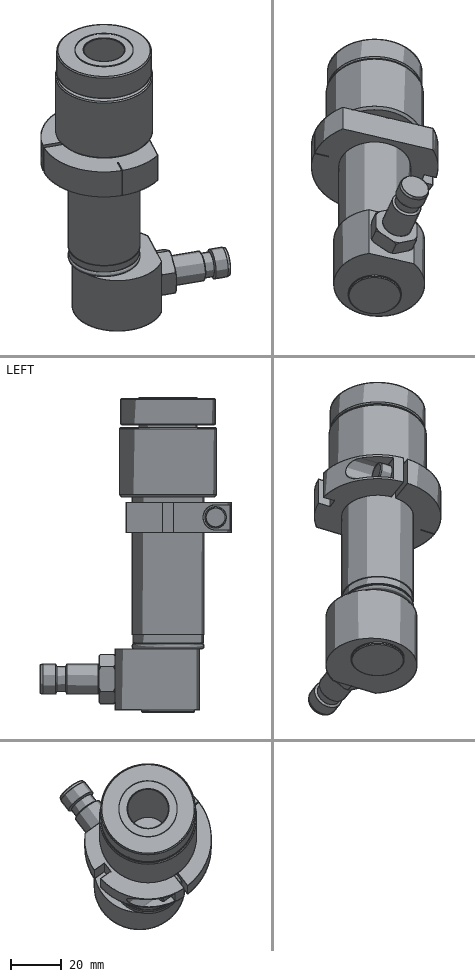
import cadquery as cq
import math

foot_diameter = 21.0
foot_height = 1.0
foot_chamfer = 0.4
barrel_diameter = 28.5
base_top = 25.1
bead_radius = 1.0
neck_diameter = 27.9
neck_bottom = 27.5
neck_top = 30.7
head_bottom = 85.0
head_top = 112.5
head_diameter = 38.5
head_bottom_chamfer = 1.0
head_top_chamfer = 0.5
stem_diameter = 23.0
cap_bottom = 113.5
cap_top = 124.0
cap_diameter = 37.5
cap_chamfer = 0.5
total_height = 124.4
bore_diameter = 16.0
bore_chamfer = 0.2

base_diameter = 36.0
base_front = -12.5
base_flat = 20.9
base_center = base_front + base_diameter / 2

fitting_z = 13.2
hex_across_flats = 16.9
hex_corners = hex_across_flats / math.cos(math.pi / 6)
hex_end = 27.2
hex_chamfer = 0.6
nipple_diameter = 12.0
groove_diameter = 10.0
nipple_end = 50.5
shank_end = 40.4
collar_start = 43.9
groove_slope = 0.5
nipple_root_chamfer = 0.5
nipple_tip_radial = 0.4
nipple_tip_length = 1.1

ring_diameter = 50.0
ring_bottom = 71.0
ring_height = 12.0
ring_middle = ring_bottom + ring_height / 2
ring_flat = 16.5
notch_width = 4.2
notch_floor = 19.9
split_width = 1.7
slit_width = 0.4
slit_floor = head_diameter / 2

screw_y = -18.8
screw_diameter = 5.0
screw_head_diameter = 8.5
screw_head_length = 4.9
screw_head_chamfer = 0.5
pocket_width = 10.0
pocket_floor = -5.0
thread_length = 10.0


def cylinder(diameter, bottom, top):
    return cq.Workplane("XY").workplane(offset=bottom).circle(diameter / 2).extrude(top - bottom)


def make_base():
    """Off-centre disc cut flat on its +Y side."""
    disc = cylinder(base_diameter, foot_height, base_top).translate((0, base_center, 0))
    beyond_flat = cq.Workplane("XY").box(
        base_diameter, base_diameter, total_height, centered=(True, False, True)
    ).translate((0, base_flat, 0))
    return disc.cut(beyond_flat)


def make_column():
    """Foot, barrel, head, stem and cap on the Z axis, bored from the top."""
    foot = cylinder(foot_diameter, 0, foot_height).faces("<Z").chamfer(foot_chamfer)
    bead_center = base_top + bead_radius
    bead_core = barrel_diameter / 2 - bead_radius
    bead = (
        cq.Workplane("XZ")
        .moveTo(0, base_top)
        .lineTo(bead_core, base_top)
        .threePointArc((barrel_diameter / 2, bead_center), (bead_core, bead_center + bead_radius))
        .lineTo(0, bead_center + bead_radius)
        .close()
        .revolve(360, (0, 0, 0), (0, 1, 0))
    )
    neck = cylinder(neck_diameter, neck_bottom, neck_top)
    neck_core = cylinder(2 * bead_core, base_top, neck_bottom)
    barrel = cylinder(barrel_diameter, neck_top, head_bottom)
    head = cylinder(head_diameter, head_bottom, head_top)
    head = head.faces("<Z").chamfer(head_bottom_chamfer).faces(">Z").chamfer(head_top_chamfer)
    stem = cylinder(stem_diameter, head_top, total_height)
    cap = cylinder(cap_diameter, cap_bottom, cap_top).faces("<Z or >Z").chamfer(cap_chamfer)
    column = foot.union(make_base())
    for section in (bead, neck_core, neck, barrel, head, stem, cap):
        column = column.union(section)
    bore = cylinder(bore_diameter, head_bottom, total_height)
    column = column.cut(bore)
    bore_rim = column.faces(">Z").edges(cq.selectors.RadiusNthSelector(0))
    return bore_rim.chamfer(bore_chamfer)


def make_fitting():
    """Chamfered hexagon and grooved nipple, running along +Y."""
    hex_length = hex_end - base_flat
    hexagon = (
        cq.Workplane("XY").polygon(6, hex_corners).extrude(hex_length)
        .rotate((0, 0, 0), (0, 0, 1), 90)
    )
    corner_trim = cq.Workplane("XY").circle(hex_corners / 2).extrude(hex_length)
    corner_trim = corner_trim.faces("<Z or >Z").chamfer(hex_chamfer)
    hexagon = hexagon.intersect(corner_trim).translate((0, 0, base_flat))

    nipple_radius = nipple_diameter / 2
    groove_radius = groove_diameter / 2
    nipple = (
        cq.Workplane("XZ")
        .polyline([
            (0, hex_end),
            (nipple_radius - nipple_root_chamfer, hex_end),
            (nipple_radius, hex_end + nipple_root_chamfer),
            (nipple_radius, shank_end - groove_slope),
            (groove_radius, shank_end),
            (groove_radius, collar_start),
            (nipple_radius, collar_start + groove_slope),
            (nipple_radius, nipple_end - nipple_tip_length),
            (nipple_radius - nipple_tip_radial, nipple_end),
            (0, nipple_end),
        ])
        .close()
        .revolve(360, (0, 0, 0), (0, 1, 0))
    )
    fitting = hexagon.union(nipple)
    return fitting.rotate((0, 0, 0), (1, 0, 0), -90).translate((0, 0, fitting_z))


def radial_slot(width, inner, angle):
    """Slot through the ring height, open outward in the direction of the angle."""
    slot = cq.Workplane("XY").box(
        ring_diameter, width, ring_height, centered=(False, True, False)
    )
    return slot.translate((inner, 0, ring_bottom)).rotate((0, 0, 0), (0, 0, 1), angle)


def cylinder_along_x(diameter, start, end):
    return (
        cq.Workplane("YZ", origin=(start, screw_y, ring_middle))
        .circle(diameter / 2)
        .extrude(end - start)
    )


def make_clamp_ring():
    """Split ring around the barrel, bridged by its clamp screw."""
    ring = cylinder(ring_diameter, ring_bottom, ring_bottom + ring_height)
    ring = ring.cut(cylinder(barrel_diameter, ring_bottom, ring_bottom + ring_height))
    ring = ring.cut(radial_slot(ring_diameter, ring_flat, 90))
    ring = ring.cut(radial_slot(notch_width, notch_floor, 180))
    ring = ring.cut(radial_slot(split_width, 0, -90))
    ring = ring.cut(radial_slot(slit_width, slit_floor, 0))

    pocket_end = -ring_diameter / 2
    pocket = cylinder_along_x(pocket_width, pocket_end, pocket_floor)
    pocket_opening = cq.Workplane("XY").box(
        pocket_floor - pocket_end, ring_diameter, pocket_width, centered=(False, False, True)
    ).translate((pocket_end, screw_y - ring_diameter, ring_middle))
    ring = ring.cut(pocket).cut(pocket_opening)

    head_start = pocket_floor - screw_head_length
    screw_head = cylinder_along_x(screw_head_diameter, head_start, pocket_floor)
    screw_head = screw_head.faces("<X").chamfer(screw_head_chamfer)
    shaft = cylinder_along_x(screw_diameter, pocket_floor, thread_length)
    return ring.union(screw_head).union(shaft)


gauge_body = make_column().union(make_fitting())
clamp_ring = make_clamp_ring()

result = cq.Compound.makeCompound([*gauge_body.solids().vals(), *clamp_ring.solids().vals()])